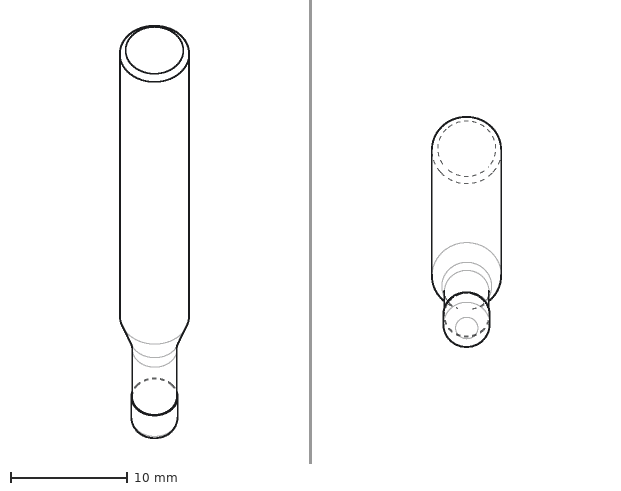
import cadquery as cq
import math

TOTAL_LENGTH = 55.0
SHANK_RADIUS = 6.0 / 2
TOP_CHAMFER = 0.505

HEAD_RADIUS = 4.0 / 2
HEAD_LENGTH = 4.05
NOSE_RADIUS = 1.05

NECK_RADIUS = 1.9
NECK_TOP = 11.1
TAPER_ANGLE = math.radians(15)
BLEND_RADIUS = 6.6


def blend_point(angle):
    """Point (radius, height) on the blend arc, at an angle up from the neck."""
    radius = NECK_RADIUS + BLEND_RADIUS * (1 - math.cos(angle))
    height = NECK_TOP + BLEND_RADIUS * math.sin(angle)
    return radius, height


def make_head():
    """Cylindrical cutting head with a rounded lower corner."""
    return (
        cq.Workplane("XY")
        .circle(HEAD_RADIUS)
        .extrude(HEAD_LENGTH)
        .faces("<Z")
        .edges()
        .fillet(NOSE_RADIUS)
    )


def make_shank():
    """Neck, blend arc, taper and chamfered shank as one turned body."""
    blend_end = blend_point(TAPER_ANGLE)
    taper_length = (SHANK_RADIUS - blend_end[0]) / math.tan(TAPER_ANGLE)
    taper_top = blend_end[1] + taper_length

    return (
        cq.Workplane("XZ")
        .moveTo(0, HEAD_LENGTH)
        .lineTo(NECK_RADIUS, HEAD_LENGTH)
        .lineTo(NECK_RADIUS, NECK_TOP)
        .threePointArc(blend_point(TAPER_ANGLE / 2), blend_end)
        .lineTo(SHANK_RADIUS, taper_top)
        .lineTo(SHANK_RADIUS, TOTAL_LENGTH - TOP_CHAMFER)
        .lineTo(SHANK_RADIUS - TOP_CHAMFER, TOTAL_LENGTH)
        .lineTo(0, TOTAL_LENGTH)
        .close()
        .revolve(360, (0, 0, 0), (0, 1, 0))
    )


head = make_head()
shank = make_shank()

result = cq.Compound.makeCompound([head.val(), shank.val()])